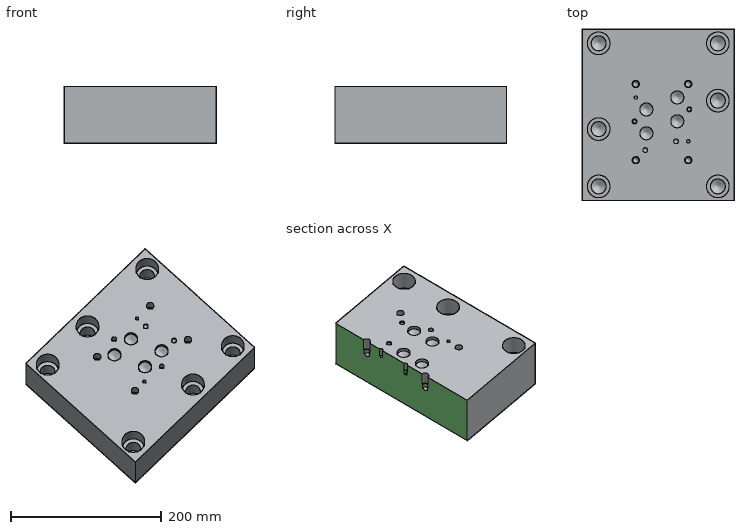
import cadquery as cq
import math

LENGTH_X = 203.2
LENGTH_Y = 228.5
HEIGHT = 76.1

DRILL_POINT_ANGLE = 118.0

MOUNT_DIAMETER = 20.0
MOUNT_DEPTH = 57.2
MOUNT_BORE_DIAMETER = 30.2
MOUNT_BORE_DEPTH = 27.5
MOUNT_INSET_X = 22.2
MOUNT_INSET_Y = 19.0
MOUNT_MIDDLE_Y = 19.0

PATTERN_X = 5.0
PATTERN_Y = -9.5

LARGE_SCREW_SPACING_X = 70.0
LARGE_SCREW_SPACING_Y = 101.5
LARGE_THREAD_DIAMETER = 9.5
LARGE_THREAD_DEPTH = 19.0
LARGE_TAP_DIAMETER = 8.0
LARGE_TAP_DEPTH = 25.4

SMALL_SCREW_POSITIONS = [(-36.5, 1.0), (36.3, 17.0)]
SMALL_THREAD_DIAMETER = 6.5
SMALL_THREAD_DEPTH = 12.8
SMALL_TAP_DIAMETER = 5.0
SMALL_TAP_DEPTH = 19.0

PORT_DIAMETER = 17.4
PORT_DEPTH = 5.0
PORT_PAIR_SPACING = 31.8
PORT_PAIR_CENTRES = [(-20.8, 1.0), (20.3, 17.0)]

PILOT_DIAMETER = 6.5
PILOT_DEPTH = 2.3
PILOT_POSITIONS = [(-22.5, -37.3), (18.7, -25.5)]

DRAIN_DIAMETER = 4.3
DRAIN_DEPTH = 12.8
DRAIN_POSITIONS = [
    (-LARGE_SCREW_SPACING_X / 2, 32.7),
    (LARGE_SCREW_SPACING_X / 2, -25.5),
]


def drilled_hole(position, diameter, depth):
    """Blind hole from the top face with a conical drill point below its depth."""
    x, y = position
    radius = diameter / 2
    point_length = radius / math.tan(math.radians(DRILL_POINT_ANGLE / 2))
    profile = [
        (0, HEIGHT),
        (radius, HEIGHT),
        (radius, HEIGHT - depth),
        (0, HEIGHT - depth - point_length),
    ]
    hole = cq.Workplane("XZ").polyline(profile).close().revolve(360, (0, 0, 0), (0, 1, 0))
    return hole.translate((x, y, 0))


def stepped_hole(position, wide_diameter, wide_depth, diameter, depth):
    """Drilled hole with a wider flat-bottomed bore at its mouth."""
    x, y = position
    bore = cq.Workplane("XY", origin=(x, y, HEIGHT)).circle(wide_diameter / 2).extrude(-wide_depth)
    return drilled_hole(position, diameter, depth).union(bore)


def in_pattern(positions):
    """Move positions from the valve pattern's centre to the block's axes."""
    return [(PATTERN_X + x, PATTERN_Y + y) for x, y in positions]


mount_x = LENGTH_X / 2 - MOUNT_INSET_X
mount_y = LENGTH_Y / 2 - MOUNT_INSET_Y
mount_positions = [(-mount_x, y) for y in (-mount_y, -MOUNT_MIDDLE_Y, mount_y)]
mount_positions += [(mount_x, y) for y in (-mount_y, MOUNT_MIDDLE_Y, mount_y)]

large_screw_positions = [
    (side_x * LARGE_SCREW_SPACING_X / 2, side_y * LARGE_SCREW_SPACING_Y / 2)
    for side_x in (-1, 1)
    for side_y in (-1, 1)
]

port_positions = [
    (x, y + side * PORT_PAIR_SPACING / 2)
    for x, y in PORT_PAIR_CENTRES
    for side in (-1, 1)
]

result = cq.Workplane("XY").box(LENGTH_X, LENGTH_Y, HEIGHT, centered=(True, True, False))

for position in mount_positions:
    result = result.cut(
        stepped_hole(position, MOUNT_BORE_DIAMETER, MOUNT_BORE_DEPTH, MOUNT_DIAMETER, MOUNT_DEPTH)
    )

for position in in_pattern(large_screw_positions):
    result = result.cut(
        stepped_hole(
            position, LARGE_THREAD_DIAMETER, LARGE_THREAD_DEPTH, LARGE_TAP_DIAMETER, LARGE_TAP_DEPTH
        )
    )

for position in in_pattern(SMALL_SCREW_POSITIONS):
    result = result.cut(
        stepped_hole(
            position, SMALL_THREAD_DIAMETER, SMALL_THREAD_DEPTH, SMALL_TAP_DIAMETER, SMALL_TAP_DEPTH
        )
    )

for position in in_pattern(port_positions):
    result = result.cut(drilled_hole(position, PORT_DIAMETER, PORT_DEPTH))

for position in in_pattern(PILOT_POSITIONS):
    result = result.cut(drilled_hole(position, PILOT_DIAMETER, PILOT_DEPTH))

for position in in_pattern(DRAIN_POSITIONS):
    result = result.cut(drilled_hole(position, DRAIN_DIAMETER, DRAIN_DEPTH))